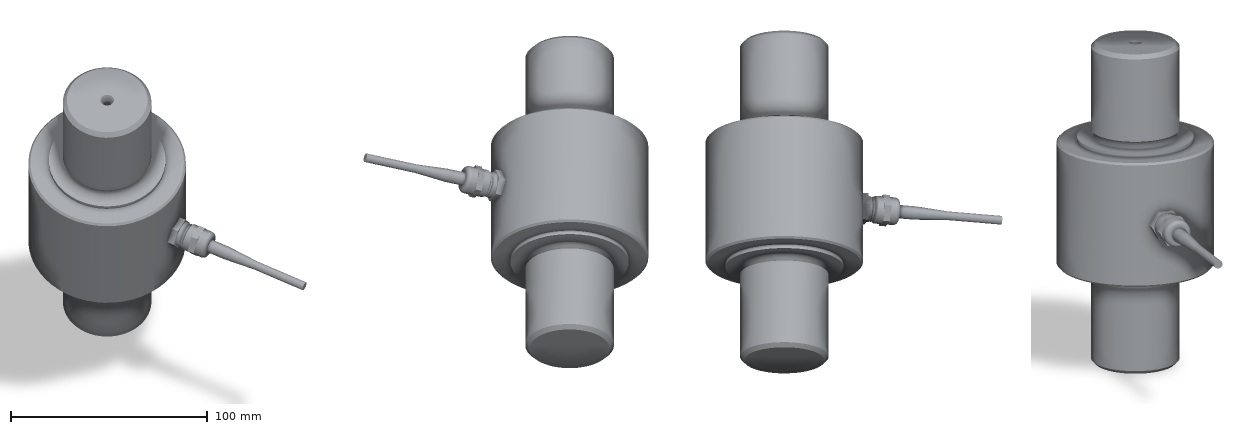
import cadquery as cq
import math

TOTAL_HEIGHT = 170.0
HOUSING_DIAMETER = 80.0
HOUSING_HEIGHT = 66.0
HOUSING_CHAMFER = 1.0
TOP_COLLAR_DIAMETER = 59.3
BOTTOM_COLLAR_DIAMETER = 60.0
COLLAR_HEIGHT = 2.0
STUD_DIAMETER = 45.0
STUD_CHAMFER = 2.0
RELIEF_HEIGHT = 4.0
RELIEF_DEPTH = 1.9
RELIEF_DEEPEST = 0.4
RELIEF_COLLAR_DEPTH = 0.8

CENTRE_MOUTH_DIAMETER = 6.8
CENTRE_PILOT_DIAMETER = 3.2
CENTRE_PILOT_LENGTH = 3.2
COUNTERSINK_ANGLE = 60.0
DRILL_TIP_ANGLE = 120.0

HEX_ACROSS_FLATS = 14.1
GLAND_DIAMETER = HEX_ACROSS_FLATS
BASE_HEX_END = 43.0
NECK_DIAMETER = 13.1
NECK_END = 44.5
SEAL_GROOVE_DIAMETER = 11.2
SEAL_GROOVE_WIDTH = 0.7
CAP_START = 47.3
CAP_HEX_START = 50.8
CAP_HEX_END = 54.2
CAP_END = 59.5
CAP_ROUNDING = 2.0
BOOT_DIAMETER = 6.8
BOOT_TAPER_START = 68.8
BOOT_END = 85.7

CABLE_DIAMETER = 4.5
OVERALL_LENGTH_X = 153.8
CABLE_END = OVERALL_LENGTH_X - HOUSING_DIAMETER / 2

HOUSING_RADIUS = HOUSING_DIAMETER / 2


def make_stud(collar_diameter):
    """Upward collar, relief groove and chamfered stud, standing on the housing's top face."""
    stud_radius = STUD_DIAMETER / 2
    housing_face = HOUSING_HEIGHT / 2
    collar_face = housing_face + COLLAR_HEIGHT
    stud_start = collar_face + RELIEF_HEIGHT
    stud_end = TOTAL_HEIGHT / 2
    return (
        cq.Workplane("XZ")
        .moveTo(0, housing_face)
        .lineTo(collar_diameter / 2, housing_face)
        .lineTo(collar_diameter / 2, collar_face)
        .lineTo(stud_radius - RELIEF_COLLAR_DEPTH, collar_face)
        .threePointArc(
            (stud_radius - RELIEF_DEPTH, collar_face + RELIEF_HEIGHT * RELIEF_DEEPEST),
            (stud_radius, stud_start),
        )
        .lineTo(stud_radius, stud_end - STUD_CHAMFER)
        .lineTo(stud_radius - STUD_CHAMFER, stud_end)
        .lineTo(0, stud_end)
        .close()
        .revolve(360, (0, 0, 0), (0, 1, 0))
    )


def make_centre_hole():
    """Countersunk pilot hole with a conical drill tip, sunk from the top end."""
    mouth_radius = CENTRE_MOUTH_DIAMETER / 2
    pilot_radius = CENTRE_PILOT_DIAMETER / 2
    top = TOTAL_HEIGHT / 2
    countersink_depth = (mouth_radius - pilot_radius) / math.tan(math.radians(COUNTERSINK_ANGLE / 2))
    tip_depth = pilot_radius / math.tan(math.radians(DRILL_TIP_ANGLE / 2))
    pilot_start = top - countersink_depth
    pilot_end = pilot_start - CENTRE_PILOT_LENGTH
    return (
        cq.Workplane("XZ")
        .moveTo(0, top)
        .lineTo(mouth_radius, top)
        .lineTo(pilot_radius, pilot_start)
        .lineTo(pilot_radius, pilot_end)
        .lineTo(0, pilot_end - tip_depth)
        .close()
        .revolve(360, (0, 0, 0), (0, 1, 0))
    )


def make_housing_cylinder():
    """Plain cylinder of the housing, centred on the origin."""
    return cq.Workplane("XY").cylinder(HOUSING_HEIGHT, HOUSING_RADIUS)


def make_load_cell():
    """Cylindrical housing with a stud on each end."""
    housing = make_housing_cylinder().edges("%CIRCLE").chamfer(HOUSING_CHAMFER)
    top_stud = make_stud(TOP_COLLAR_DIAMETER)
    bottom_stud = make_stud(BOTTOM_COLLAR_DIAMETER).mirror("XY")
    return housing.union(top_stud).union(bottom_stud).cut(make_centre_hole())


def make_hex(start, end):
    """Hexagonal prism along X with flats facing up and down."""
    corner_radius = HEX_ACROSS_FLATS / 2 / math.cos(math.pi / 6)
    corner_angles = [i * math.pi / 3 for i in range(6)]
    corners = [(corner_radius * math.cos(a), corner_radius * math.sin(a)) for a in corner_angles]
    return cq.Workplane("YZ", origin=(start, 0, 0)).polyline(corners).close().extrude(end - start)


def make_gland_turning():
    """Round parts of the gland: grooved neck, rounded cap and tapering cable boot."""
    neck_radius = NECK_DIAMETER / 2
    groove_radius = SEAL_GROOVE_DIAMETER / 2
    cap_radius = GLAND_DIAMETER / 2
    boot_radius = BOOT_DIAMETER / 2
    arc_inset = CAP_ROUNDING * (1 - math.cos(math.pi / 4))
    return (
        cq.Workplane("XY")
        .moveTo(HOUSING_RADIUS, 0)
        .lineTo(HOUSING_RADIUS, neck_radius)
        .lineTo(NECK_END, neck_radius)
        .lineTo(NECK_END + SEAL_GROOVE_WIDTH, groove_radius)
        .lineTo(NECK_END + 2 * SEAL_GROOVE_WIDTH, neck_radius)
        .lineTo(NECK_END + 3 * SEAL_GROOVE_WIDTH, groove_radius)
        .lineTo(CAP_START, cap_radius)
        .lineTo(CAP_END - CAP_ROUNDING, cap_radius)
        .threePointArc(
            (CAP_END - arc_inset, cap_radius - arc_inset),
            (CAP_END, cap_radius - CAP_ROUNDING),
        )
        .lineTo(CAP_END, boot_radius)
        .lineTo(BOOT_TAPER_START, boot_radius)
        .lineTo(BOOT_END, CABLE_DIAMETER / 2)
        .lineTo(BOOT_END, 0)
        .close()
        .revolve(360, (0, 0, 0), (1, 0, 0))
    )


def make_gland():
    """Cable gland whose base hexagon is fitted to the round wall of the housing."""
    base_hex_start = HOUSING_RADIUS - HOUSING_CHAMFER
    return (
        make_gland_turning()
        .union(make_hex(base_hex_start, BASE_HEX_END))
        .union(make_hex(CAP_HEX_START, CAP_HEX_END))
        .cut(make_housing_cylinder())
    )


def make_cable():
    """Straight cable leaving the end of the boot."""
    return (
        cq.Workplane("YZ", origin=(BOOT_END, 0, 0))
        .circle(CABLE_DIAMETER / 2)
        .extrude(CABLE_END - BOOT_END)
    )


load_cell = make_load_cell()
gland = make_gland()
cable = make_cable()

result = cq.Compound.makeCompound([load_cell.val(), gland.val(), cable.val()])